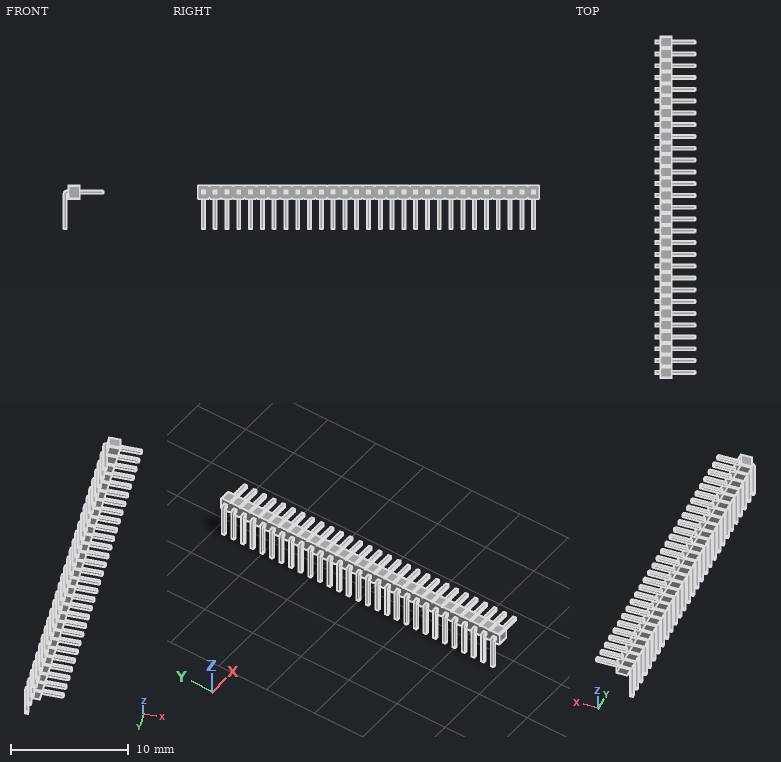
import cadquery as cq


row_length = 29.0
pin_count = 29
pitch = row_length / pin_count
housing_depth = 1.0
housing_height = 1.22
block_chamfer = 0.102

pin_width = 0.3
arm_reach = 2.0
leg_offset = 0.4
leg_drop = 3.15
tip_chamfer = 0.072
bend_radius = pin_width

arm_tip_x = housing_depth / 2 + arm_reach
leg_outer_x = -housing_depth / 2 - leg_offset


def make_block():
    """One housing block, with its four long edges along X chamfered."""
    return (
        cq.Workplane("XY")
        .box(housing_depth, pitch, housing_height)
        .edges("|X")
        .chamfer(block_chamfer)
    )


def make_pin():
    """One square pin with a rounded bend and a chamfered tip at both ends."""
    half_width = pin_width / 2
    arm_length = arm_tip_x - leg_outer_x
    leg_length = leg_drop + half_width

    arm = (
        cq.Workplane("XY")
        .box(arm_length, pin_width, pin_width, centered=(False, True, True))
        .translate((leg_outer_x, 0, 0))
        .faces(">X")
        .chamfer(tip_chamfer)
    )
    leg = (
        cq.Workplane("XY")
        .box(pin_width, pin_width, leg_length, centered=(False, True, False))
        .translate((leg_outer_x, 0, -leg_drop))
        .faces("<Z")
        .chamfer(tip_chamfer)
    )
    pin = arm.union(leg)

    outer_corner = (
        cq.Workplane("XZ")
        .moveTo(leg_outer_x, half_width - bend_radius)
        .radiusArc((leg_outer_x + bend_radius, half_width), bend_radius)
        .lineTo(leg_outer_x, half_width)
        .close()
        .extrude(half_width, both=True)
    )
    return pin.cut(outer_corner)


unit = make_block().union(make_pin())
first_y = -row_length / 2 + pitch / 2

result = unit.translate((0, first_y, 0))
for index in range(1, pin_count):
    result = result.union(unit.translate((0, first_y + index * pitch, 0)), clean=False)
result = result.clean()